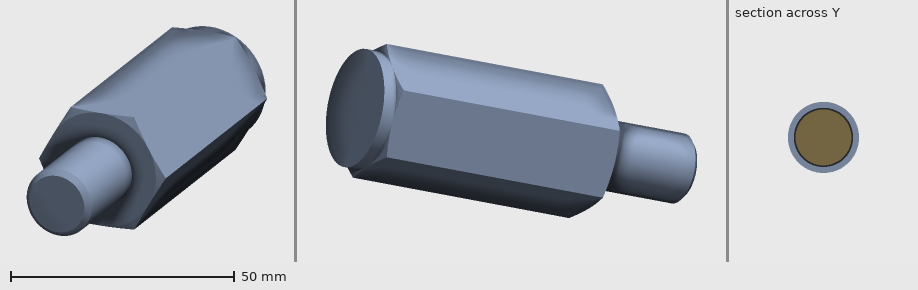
import cadquery as cq
import math

total_length = 84.0
across_flats = 27.0
body_length = 60.0
collar_length = 3.0
stud_diameter = 16.0
neck_diameter = 13.0
neck_length = 0.8
stud_chamfer_depth = 1.3
stud_chamfer_length = 1.2
corner_chamfer_angle = 20.0

stud_end = -total_length / 2
collar_end = total_length / 2
body_start = collar_end - body_length
hex_end = collar_end - collar_length
neck_start = body_start - neck_length

collar_radius = across_flats / 2
corner_radius = across_flats / math.sqrt(3)
stud_radius = stud_diameter / 2
neck_radius = neck_diameter / 2
corner_chamfer_length = (corner_radius - collar_radius) * math.tan(math.radians(corner_chamfer_angle))


def revolve_about_y(points):
    """Turn a half profile of (radius, y) points around the Y axis."""
    return cq.Workplane("XY").polyline(points).close().revolve(360, (0, 0, 0), (0, 1, 0))


def make_hexagon():
    """Hexagonal prism with corners on +X and -X, its corners chamfered at both ends."""
    prism = (
        cq.Workplane("XZ", origin=(0, hex_end, 0))
        .polygon(6, 2 * corner_radius)
        .extrude(hex_end - body_start)
    )
    chamfer_envelope = revolve_about_y([
        (0, body_start),
        (collar_radius, body_start),
        (corner_radius, body_start + corner_chamfer_length),
        (corner_radius, hex_end - corner_chamfer_length),
        (collar_radius, hex_end),
        (0, hex_end),
    ])
    return prism.intersect(chamfer_envelope)


def make_collar():
    """Plain round collar at the +Y end."""
    return cq.Workplane("XZ", origin=(0, collar_end, 0)).circle(collar_radius).extrude(collar_length)


def make_stud():
    """Stud with a relief neck at the body and a chamfered free end."""
    return revolve_about_y([
        (0, body_start),
        (neck_radius, body_start),
        (neck_radius, neck_start),
        (stud_radius, neck_start),
        (stud_radius, stud_end + stud_chamfer_length),
        (stud_radius - stud_chamfer_depth, stud_end),
        (0, stud_end),
    ])


result = make_hexagon().union(make_collar()).union(make_stud())